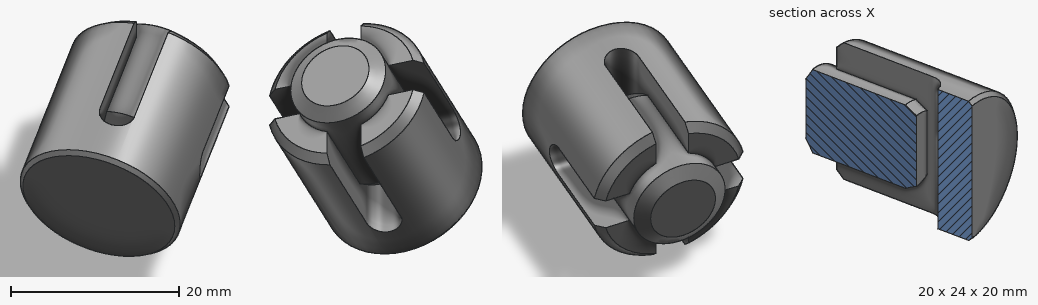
import cadquery as cq
import math

overall_length = 24.0

housing_diameter = 20.0
housing_radius = housing_diameter / 2
housing_length = 21.0
front_chamfer = 0.5
rear_chamfer = 1.0

pin_radius = 6.0
pin_front = 8.0
pin_front_taper = 1.6
pin_rear_taper = 1.0
pin_front_angle = 30.0
pin_rear_angle = 60.0

slot_width = 4.27
vertical_slot_end = 5.0
horizontal_slot_end = pin_front


def taper_radius(taper_length, taper_angle):
    """Radius of the flat left at the end of a taper of the given length and angle."""
    return pin_radius - taper_length * math.tan(math.radians(taper_angle))


def make_pin():
    """Round pin with a conical taper at both ends."""
    profile = [
        (0, pin_front),
        (taper_radius(pin_front_taper, pin_front_angle), pin_front),
        (pin_radius, pin_front + pin_front_taper),
        (pin_radius, overall_length - pin_rear_taper),
        (taper_radius(pin_rear_taper, pin_rear_angle), overall_length),
        (0, overall_length),
    ]
    return cq.Workplane("XY").polyline(profile).close().revolve(360, (0, 0, 0), (0, 1, 0))


def make_slot(plane, closed_end):
    """Through slot across the housing, round at its closed end and open at the rear."""
    slot_radius = slot_width / 2
    arc_start = closed_end + slot_radius
    outline = (
        cq.Workplane(plane)
        .moveTo(-slot_radius, housing_length)
        .lineTo(-slot_radius, arc_start)
        .threePointArc((0, closed_end), (slot_radius, arc_start))
        .lineTo(slot_radius, housing_length)
        .close()
    )
    return outline.extrude(housing_radius, both=True)


def make_housing(pin):
    """Chamfered cylinder with a seat for the pin and two crossing slots."""
    profile = [
        (0, 0),
        (housing_radius - front_chamfer, 0),
        (housing_radius, front_chamfer),
        (housing_radius, housing_length - rear_chamfer),
        (housing_radius - rear_chamfer, housing_length),
        (0, housing_length),
    ]
    body = cq.Workplane("XY").polyline(profile).close().revolve(360, (0, 0, 0), (0, 1, 0))
    vertical_slot = make_slot("XY", vertical_slot_end)
    horizontal_slot = make_slot("ZY", horizontal_slot_end)
    return body.cut(pin).cut(vertical_slot).cut(horizontal_slot)


pin = make_pin()
housing = make_housing(pin)

result = cq.Compound.makeCompound([housing.solids().val(), pin.val()])